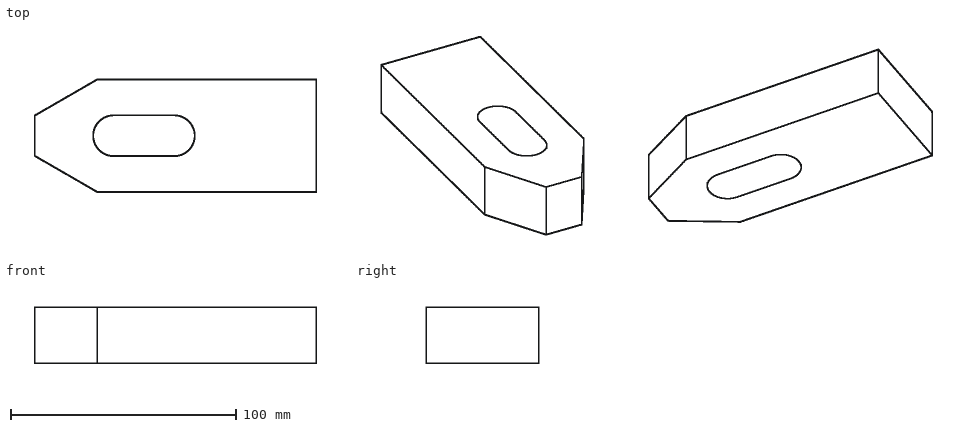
import cadquery as cq
import math

length = 125.0
width = 50.0
thickness = 25.0

tip_width = 18.0
taper_angle = 30.0
taper_length = (width - tip_width) / 2 / math.tan(math.radians(taper_angle))

slot_width = 18.0
slot_length = 45.0
slot_start = 26.0
slot_center = slot_start + slot_length / 2


def make_bar():
    """Bar with the tapered nose."""
    half_width = width / 2
    half_tip = tip_width / 2
    outline = [
        (0, -half_tip),
        (taper_length, -half_width),
        (length, -half_width),
        (length, half_width),
        (taper_length, half_width),
        (0, half_tip),
    ]
    return cq.Workplane("XY").polyline(outline).close().extrude(thickness)


def make_slot():
    """Cutter for the slot, through the full thickness."""
    return (
        cq.Workplane("XY")
        .center(slot_center, 0)
        .slot2D(slot_length, slot_width)
        .extrude(thickness)
    )


result = make_bar().cut(make_slot())